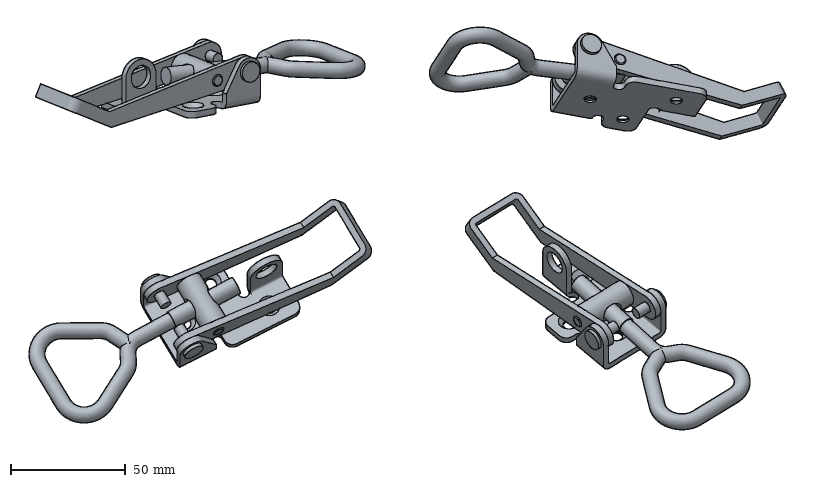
import cadquery as cq
import math


SHEET = 3.0
BEND_INNER = 1.0
BEND_OUTER = BEND_INNER + SHEET

RIVET_Z = 15.9
PIVOT_END_RADIUS = 6.1

LEVER_HALF_WIDTH = 15.0
LEVER_INNER = LEVER_HALF_WIDTH - SHEET
KNEE_TOP_Y, KNEE_TOP_Z = -72.0, 8.6
KNEE_BOTTOM_Y = -71.0
HANDLE_ANGLE = 27.0
HANDLE_WIDTH = 6.2
TIP_Y, TIP_Z = -92.4, 12.2

BASE_HALF_WIDTH = 20.0
CORNER_RADIUS = 4.0
EAR_OUTER = LEVER_HALF_WIDTH + SHEET
EAR_FRONT_Y = -12.0
EAR_FRONT_Z = 7.5
RELIEF_WIDTH = 5.0
LOBE_REAR_Y = EAR_FRONT_Y - RELIEF_WIDTH
LOBE_FRONT_Y = -33.0
BASE_FRONT_Y = -54.0

TAB_REAR_Y = LOBE_FRONT_Y - RELIEF_WIDTH
TAB_TOP_Z = 25.0
TAB_HOLE_RADIUS = 5.2

MOUNT_HOLES = [(0, -6.1), (11.1, -25.0), (-11.1, -42.0)]
MOUNT_DIAMETER = 5.3
COUNTERSINK_DIAMETER = 9.4
COUNTERSINK_ANGLE = 90

RIVET_DIAMETER = 5.0
RIVET_HEAD_DIAMETER = 9.2
RIVET_HEAD_HEIGHT = 1.5
RIVET_INNER_X = 6.0

BARREL_Y, BARREL_Z = -14.7, 13.5
BARREL_RADIUS = 6.0
JOURNAL_RADIUS = 2.7
JOURNAL_PROUD = 0.5
ROD_SLOT_WIDTH = 10.3

ROD_TILT = 3.9
ROD_DIAMETER = 7.0
SHANK_DIAMETER = 8.0
SHANK_FRONT = -17.0
SHANK_REAR = 15.1
NECK_END = 32.8
NECK_BEND_RADIUS = 7.2
SHOULDER_BEND_RADIUS = 8.0
SHOULDER_ANGLE = 25.0
SHOULDER_LENGTH = 3.7
LEG_ANGLE = 60.0
LEG_LENGTH = 17.3
LOOP_BEND_RADIUS = 10.6
CROTCH_OVERLAP = 1.7


def box(x0, x1, y0, y1, z0, z1):
    return cq.Workplane("XY").box(x1 - x0, y1 - y0, z1 - z0, centered=False).translate((x0, y0, z0))


def side_prism(profile, x0, x1):
    """Extrude a YZ profile between two X positions."""
    return profile.extrude(x1 - x0).translate((x0, 0, 0))


def x_cylinder(radius, x0, x1, y, z):
    return side_prism(cq.Workplane("YZ").center(y, z).circle(radius), x0, x1)


def mirrored_pair(half):
    return half.union(half.mirror("YZ"))


def tangent_point(point, side):
    """Point where a line from `point` touches the pivot end; side is +1 for above, -1 for below."""
    dy, dz = point[0], point[1] - RIVET_Z
    angle = math.atan2(dz, dy) - side * math.acos(PIVOT_END_RADIUS / math.hypot(dy, dz))
    return PIVOT_END_RADIUS * math.cos(angle), RIVET_Z + PIVOT_END_RADIUS * math.sin(angle)


def sheet_bend(face_x, y0, y1):
    """Quarter bend from a flat on the -X side up to a wall whose outer face is at face_x."""
    centre_x = face_x - BEND_OUTER
    ring = (
        cq.Workplane("XZ", origin=(centre_x, y1, BEND_OUTER))
        .circle(BEND_OUTER)
        .circle(BEND_INNER)
        .extrude(y1 - y0)
    )
    return ring.intersect(box(centre_x, face_x, y0, y1, 0, BEND_OUTER))


def ear():
    top_y, top_z = tangent_point((EAR_FRONT_Y, EAR_FRONT_Z), 1)
    profile = (
        cq.Workplane("YZ")
        .moveTo(PIVOT_END_RADIUS, BEND_OUTER)
        .lineTo(PIVOT_END_RADIUS, RIVET_Z)
        .threePointArc((0, RIVET_Z + PIVOT_END_RADIUS), (top_y, top_z))
        .lineTo(EAR_FRONT_Y, EAR_FRONT_Z)
        .lineTo(EAR_FRONT_Y, BEND_OUTER)
        .close()
    )
    wall = side_prism(profile, LEVER_HALF_WIDTH, EAR_OUTER)
    return wall.union(sheet_bend(EAR_OUTER, EAR_FRONT_Y, PIVOT_END_RADIUS))


def tab():
    half_width = (TAB_REAR_Y - BASE_FRONT_Y) / 2
    mid_y = (TAB_REAR_Y + BASE_FRONT_Y) / 2
    eye_z = TAB_TOP_Z - half_width
    profile = (
        cq.Workplane("YZ")
        .moveTo(BASE_FRONT_Y, BEND_OUTER)
        .lineTo(BASE_FRONT_Y, eye_z)
        .threePointArc((mid_y, TAB_TOP_Z), (TAB_REAR_Y, eye_z))
        .lineTo(TAB_REAR_Y, BEND_OUTER)
        .close()
    )
    wall = side_prism(profile, -SHEET / 2, SHEET / 2)
    wall = wall.cut(x_cylinder(TAB_HOLE_RADIUS, -SHEET, SHEET, mid_y, eye_z))
    return wall.union(sheet_bend(SHEET / 2, BASE_FRONT_Y, TAB_REAR_Y))


def base_flat():
    relief_radius = RELIEF_WIDTH / 2
    ear_bend_x = EAR_OUTER - BEND_OUTER
    tab_bend_x = SHEET / 2 - BEND_OUTER
    neck = box(-ear_bend_x, ear_bend_x, LOBE_REAR_Y, PIVOT_END_RADIUS, 0, SHEET)
    lobes = box(-BASE_HALF_WIDTH, BASE_HALF_WIDTH, LOBE_FRONT_Y, LOBE_REAR_Y, 0, SHEET)
    lobes = lobes.edges("|Z and >X").fillet(CORNER_RADIUS)
    lobes = lobes.edges("|Z and <X and >Y").fillet(CORNER_RADIUS)
    arm = box(-BASE_HALF_WIDTH, tab_bend_x, BASE_FRONT_Y, LOBE_FRONT_Y, 0, SHEET)
    arm = arm.edges("|Z and <X and <Y").fillet(CORNER_RADIUS)
    web = box(tab_bend_x, 0, TAB_REAR_Y, LOBE_FRONT_Y, 0, SHEET)
    ear_reliefs = (
        cq.Workplane("XY")
        .pushPoints([(x, EAR_FRONT_Y - relief_radius) for x in (-ear_bend_x, ear_bend_x)])
        .circle(relief_radius)
        .extrude(SHEET)
    )
    tab_relief = (
        cq.Workplane("XY")
        .center(0, LOBE_FRONT_Y - relief_radius)
        .circle(relief_radius)
        .extrude(SHEET)
    )
    flat = neck.union(lobes).union(arm).union(web).cut(ear_reliefs).cut(tab_relief)
    return (
        flat.faces(">Z")
        .workplane(origin=(0, 0, SHEET))
        .pushPoints(MOUNT_HOLES)
        .cskHole(MOUNT_DIAMETER, COUNTERSINK_DIAMETER, COUNTERSINK_ANGLE)
    )


def make_base():
    base = base_flat().union(mirrored_pair(ear())).union(tab())
    rivet_holes = x_cylinder(RIVET_DIAMETER / 2, -EAR_OUTER, EAR_OUTER, 0, RIVET_Z)
    return base.cut(rivet_holes)


def make_lever():
    handle = math.radians(HANDLE_ANGLE)
    tip_top = (TIP_Y + HANDLE_WIDTH * math.sin(handle), TIP_Z + HANDLE_WIDTH * math.cos(handle))
    knee_top = (KNEE_TOP_Y, KNEE_TOP_Z)
    knee_bottom = (KNEE_BOTTOM_Y, TIP_Z - (KNEE_BOTTOM_Y - TIP_Y) * math.tan(handle))
    profile = (
        cq.Workplane("YZ")
        .moveTo(*tangent_point(knee_top, 1))
        .lineTo(*knee_top)
        .lineTo(*tip_top)
        .lineTo(TIP_Y, TIP_Z)
        .lineTo(*knee_bottom)
        .lineTo(*tangent_point(knee_bottom, -1))
        .threePointArc((PIVOT_END_RADIUS, RIVET_Z), tangent_point(knee_top, 1))
        .close()
    )
    lever = side_prism(profile, -LEVER_HALF_WIDTH, LEVER_HALF_WIDTH)
    lever = lever.faces("<Y").edges("not |X").fillet(BEND_OUTER)
    length = PIVOT_END_RADIUS - TIP_Y
    channel = (
        cq.Workplane("XY")
        .box(2 * LEVER_INNER, 2 * length, 2 * length, centered=(True, False, True))
        .edges("|Z and <Y")
        .fillet(BEND_INNER)
        .translate((0, SHEET, 0))
        .rotate((0, 0, 0), (1, 0, 0), -HANDLE_ANGLE)
        .translate((0, TIP_Y, TIP_Z))
    )
    lever = lever.cut(channel)
    lever = lever.cut(x_cylinder(RIVET_DIAMETER / 2, -LEVER_HALF_WIDTH, LEVER_HALF_WIDTH, 0, RIVET_Z))
    return lever.cut(x_cylinder(JOURNAL_RADIUS, -LEVER_HALF_WIDTH, LEVER_HALF_WIDTH, BARREL_Y, BARREL_Z))


def make_rivet(side):
    """Rivet of the ear on one side: +1 for +X, -1 for -X."""
    shank = x_cylinder(RIVET_DIAMETER / 2, RIVET_INNER_X, EAR_OUTER, 0, RIVET_Z)
    head = x_cylinder(RIVET_HEAD_DIAMETER / 2, EAR_OUTER, EAR_OUTER + RIVET_HEAD_HEIGHT, 0, RIVET_Z)
    rivet = shank.union(head)
    return rivet if side > 0 else rivet.mirror("YZ")


def place_on_barrel(body):
    """Tilt a body built about the barrel axis to the rod direction and move it to the barrel."""
    return body.rotate((0, 0, 0), (1, 0, 0), -ROD_TILT).translate((0, BARREL_Y, BARREL_Z))


def make_barrel():
    barrel = x_cylinder(BARREL_RADIUS, -LEVER_INNER, LEVER_INNER, BARREL_Y, BARREL_Z)
    journal_end = LEVER_HALF_WIDTH + JOURNAL_PROUD
    journals = x_cylinder(JOURNAL_RADIUS, -journal_end, journal_end, BARREL_Y, BARREL_Z)
    journals = journals.faces("<X or >X").chamfer(JOURNAL_PROUD)
    slot = (
        cq.Workplane("XZ")
        .slot2D(ROD_SLOT_WIDTH, SHANK_DIAMETER)
        .extrude(2 * BARREL_RADIUS, both=True)
    )
    return barrel.union(journals).cut(place_on_barrel(slot))


class RodPath:
    """Centre line in the XY plane, grown by straights and tangent bends from a point and heading."""

    def __init__(self, x, y, heading):
        self.x, self.y, self.heading = x, y, heading
        self.edges = []

    def offset(self, distance, angle):
        turn = math.radians(angle)
        return cq.Vector(self.x + distance * math.cos(turn), self.y + distance * math.sin(turn), 0)

    def straight(self, length):
        end = self.offset(length, self.heading)
        self.edges.append(cq.Edge.makeLine(cq.Vector(self.x, self.y, 0), end))
        self.x, self.y = end.x, end.y

    def bend(self, radius, angle):
        """Turn left for a positive angle and right for a negative one."""
        start = cq.Vector(self.x, self.y, 0)
        tangent = self.offset(1.5, self.heading) - start
        chord = 2 * radius * math.sin(math.radians(abs(angle)) / 2)
        end = self.offset(chord, self.heading + angle / 2)
        self.edges.append(cq.Edge.makeTangentArc(start, tangent, end))
        self.x, self.y = end.x, end.y
        self.heading += angle


def loop_path():
    """Up the rod, once round the triangle and back into the neck."""
    path = RodPath(0, SHANK_REAR, 90)
    path.straight(NECK_END - SHANK_REAR)
    path.bend(NECK_BEND_RADIUS, 90 - SHOULDER_ANGLE)
    path.straight(SHOULDER_LENGTH)
    path.bend(SHOULDER_BEND_RADIUS, SHOULDER_ANGLE - LEG_ANGLE)
    path.straight(LEG_LENGTH)
    path.bend(LOOP_BEND_RADIUS, LEG_ANGLE - 180)
    path.straight(-2 * path.x)
    path.bend(LOOP_BEND_RADIUS, LEG_ANGLE - 180)
    path.straight(LEG_LENGTH)
    path.bend(SHOULDER_BEND_RADIUS, SHOULDER_ANGLE - LEG_ANGLE)
    path.straight(path.x / math.cos(math.radians(SHOULDER_ANGLE)) + CROTCH_OVERLAP)
    return path


def rod_along(edge):
    section = cq.Wire.makeCircle(ROD_DIAMETER / 2, edge.startPoint(), edge.tangentAt(0))
    return cq.Workplane("XY").add(cq.Solid.sweep(section, [], cq.Wire.assembleEdges([edge])))


def make_pull_loop():
    shank = cq.Workplane("XZ", origin=(0, SHANK_REAR, 0)).circle(SHANK_DIAMETER / 2)
    loop = shank.extrude(SHANK_REAR - SHANK_FRONT)
    for edge in loop_path().edges:
        loop = loop.union(rod_along(edge))
    return place_on_barrel(loop)


base = make_base()
lever = make_lever()
rivets = [make_rivet(side) for side in (-1, 1)]
barrel = make_barrel()
pull_loop = make_pull_loop()

result = cq.Compound.makeCompound(
    [body.solids().val() for body in (base, lever, *rivets, barrel, pull_loop)]
)